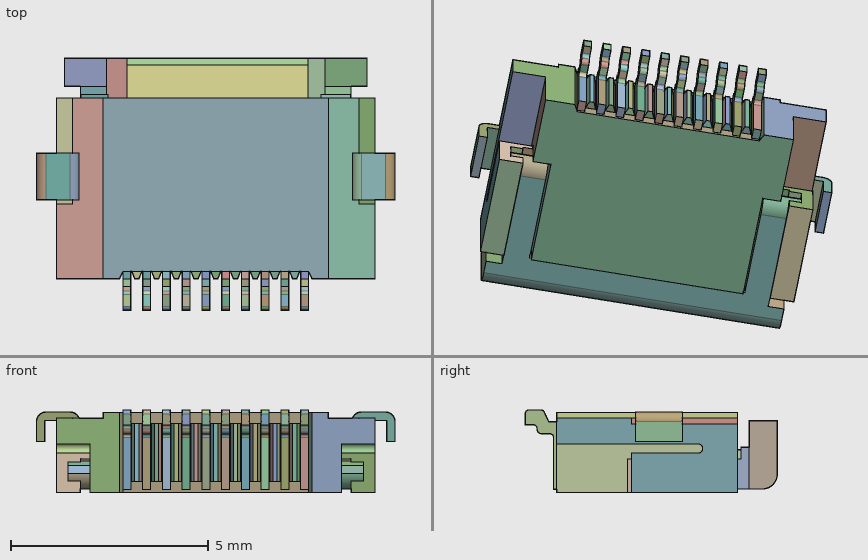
import cadquery as cq
import math


body_half_width = 4.04
body_depth = 4.59
body_height = 2.04
raised_half_width = 2.86
shelf_z = 1.89
side_step_x = 3.63
side_step_z = 1.75
side_step_front_y = 1.89

undercut_x = 3.19
undercut_y = 1.89
slot_top_z = 1.24
slot_width = 0.24
slot_end_y = 3.7

pin_count = 10
pin_pitch = 0.5
pin_width = 0.2
pin_bottom_z = 0.08
pin_face_y = -0.08
pin_shoulder_z = 1.8
pin_hook_z = 1.97
pin_tip_y = -0.8
pin_tip_z = 2.1
pin_tip_radius = 0.1
tail_bottom_z = 1.72
pin_ramp_foot_y = -0.2
pin_ramp_angle = 65
pin_ramp_radius = 0.1
elbow_y = -0.5
elbow_z = 1.49
elbow_inner_radius = 0.09
elbow_outer_radius = 0.12
recess_depth = 0.19
recess_mouth_half_width = 2.44
recess_back_half_width = 2.35
tooth_root_width = 0.26
tooth_tip_width = 0.11
tooth_bottom_z = 0.28
tooth_top_z = 1.76

clip_outer_x = 4.55
clip_thickness = 0.22
clip_top_z = 2.05
clip_foot_z = 1.29
clip_front_y = 2
clip_back_y = 3.185
clip_bend_radius = 0.25
clip_lip_start_x = 3.695

actuator_back_y = 5.6
actuator_bottom_z = 0.09
end_block_outer_x = 3.84
end_block_inner_x = 2.78
end_block_front_y = 4.88
end_block_top_z = 1.83
end_block_radius = 0.38
opening_left_x = -2.26
opening_right_x = 2.34
bar_top_z = 1.07
opening_edge_y = 5.42
opening_top_z = 0.96
opening_edge_z = 0.82
opening_end_z = 0.73
arm_outer_x = 3.43
neck_top_z = 1.16
tab_back_y = 4.67
tab_outer_x = 3.41
left_tab_inner_x = 2.73
right_tab_inner_x = 2.675
tab_top_z = 1.09
channel_inner_x = 2.73
channel_front_y = 1.8
channel_top_z = 0.855
arm_tip_y = 1.91
arm_top_z = 0.81
arm_axis_z = 0.49
arm_slope_y = 2
arm_slope_z = 0.69
arm_crest_y = 2.18
ear_outer_x = 3.75
ear_bottom_z = 0.29
ear_top_z = 0.78
ear_back_y = 2.73


def block(x_range, y_range, z_range):
    """Box between two limits along each axis."""
    (x0, x1), (y0, y1), (z0, z1) = x_range, y_range, z_range
    return cq.Workplane("XY").box(x1 - x0, y1 - y0, z1 - z0, centered=False).translate((x0, y0, z0))


def both_sides(shape):
    """The +X shape together with its mirror image on the -X side."""
    return shape.union(shape.mirror("YZ"))


def side_sketch(x):
    """Sketch plane at the given X, with sketch axes Y and Z."""
    return cq.Workplane("YZ", origin=(x, 0, 0))


def make_housing():
    """Body with a raised middle, undercut sides, arm channels and a recess for the terminals."""
    body = block((-body_half_width, body_half_width), (0, body_depth), (0, shelf_z))
    raised = block((-raised_half_width, raised_half_width), (0, body_depth), (0, body_height))
    side_step = block((side_step_x, body_half_width), (side_step_front_y, body_depth), (side_step_z, shelf_z))
    undercut = block((undercut_x, body_half_width), (0, undercut_y), (0, slot_top_z))

    slot_radius = slot_width / 2
    slot_bottom_z = slot_top_z - slot_width
    slot = (
        side_sketch(undercut_x)
        .moveTo(0, slot_bottom_z)
        .lineTo(slot_end_y - slot_radius, slot_bottom_z)
        .threePointArc((slot_end_y, slot_top_z - slot_radius), (slot_end_y - slot_radius, slot_top_z))
        .lineTo(0, slot_top_z)
        .close()
        .extrude(body_half_width - undercut_x)
    )
    channel = block((channel_inner_x, arm_outer_x), (channel_front_y, body_depth), (0, channel_top_z))
    ear_pocket = block((arm_outer_x, ear_outer_x), (undercut_y, ear_back_y), (ear_bottom_z, ear_top_z))
    tab_y = (body_depth, tab_back_y)
    tab_z = (channel_top_z, tab_top_z)
    left_tab = block((-tab_outer_x, -left_tab_inner_x), tab_y, tab_z)
    right_tab = block((right_tab_inner_x, tab_outer_x), tab_y, tab_z)
    cuts = side_step.union(undercut).union(slot).union(channel).union(ear_pocket)

    recess = (
        cq.Workplane("XY")
        .polyline([
            (-recess_mouth_half_width, 0),
            (recess_mouth_half_width, 0),
            (recess_back_half_width, recess_depth),
            (-recess_back_half_width, recess_depth),
        ])
        .close()
        .extrude(body_height)
    )
    return body.union(raised).cut(both_sides(cuts)).cut(recess).union(left_tab).union(right_tab)


def make_tooth():
    """Tapered tooth that stands in the recess between two terminals."""
    return (
        cq.Workplane("XY", origin=(0, 0, tooth_bottom_z))
        .polyline([
            (-tooth_root_width / 2, recess_depth),
            (-tooth_tip_width / 2, 0),
            (tooth_tip_width / 2, 0),
            (tooth_root_width / 2, recess_depth),
        ])
        .close()
        .extrude(tooth_top_z - tooth_bottom_z)
    )


def make_pin():
    """Upright stem with a short hook at its top and a tail that steps up to the solder pad."""
    angle = math.radians(pin_ramp_angle)
    ramp_head_y = pin_ramp_foot_y - (pin_tip_z - pin_shoulder_z) / math.tan(angle)
    tangent_length = pin_ramp_radius * math.tan(angle / 2)
    ramp_arc_start = (
        ramp_head_y + tangent_length * math.cos(angle),
        pin_tip_z - tangent_length * math.sin(angle),
    )
    return (
        side_sketch(-pin_width / 2)
        .moveTo(recess_depth, pin_bottom_z)
        .lineTo(pin_face_y, pin_bottom_z)
        .lineTo(pin_face_y, elbow_z - elbow_inner_radius)
        .radiusArc((pin_face_y - elbow_inner_radius, elbow_z), -elbow_inner_radius)
        .lineTo(elbow_y + elbow_outer_radius, elbow_z)
        .radiusArc((elbow_y, elbow_z + elbow_outer_radius), elbow_outer_radius)
        .lineTo(elbow_y, tail_bottom_z - elbow_inner_radius)
        .radiusArc((elbow_y - elbow_inner_radius, tail_bottom_z), -elbow_inner_radius)
        .lineTo(pin_tip_y, tail_bottom_z)
        .lineTo(pin_tip_y, pin_tip_z - pin_tip_radius)
        .radiusArc((pin_tip_y + pin_tip_radius, pin_tip_z), pin_tip_radius)
        .lineTo(ramp_head_y - tangent_length, pin_tip_z)
        .radiusArc(ramp_arc_start, pin_ramp_radius)
        .lineTo(pin_ramp_foot_y, pin_shoulder_z)
        .lineTo(0, pin_shoulder_z)
        .lineTo(0, pin_hook_z)
        .lineTo(recess_depth, pin_hook_z)
        .close()
        .extrude(pin_width)
    )


def make_clip():
    """Solder clip on the +X side: a plate with a rounded lip, bent down into a foot."""
    plate_bottom_z = clip_top_z - clip_thickness
    foot_inner_x = clip_outer_x - clip_thickness
    lip_length = math.sqrt(clip_bend_radius**2 - (clip_bend_radius - clip_thickness) ** 2)
    return (
        cq.Workplane("XZ", origin=(0, clip_back_y, 0))
        .moveTo(clip_lip_start_x - lip_length, plate_bottom_z)
        .radiusArc((clip_lip_start_x, clip_top_z), clip_bend_radius)
        .lineTo(clip_outer_x - clip_bend_radius, clip_top_z)
        .radiusArc((clip_outer_x, clip_top_z - clip_bend_radius), clip_bend_radius)
        .lineTo(clip_outer_x, clip_foot_z)
        .lineTo(foot_inner_x, clip_foot_z)
        .lineTo(foot_inner_x, plate_bottom_z)
        .close()
        .extrude(clip_back_y - clip_front_y)
    )


def make_arm():
    """Round-nosed arm on the +X side, with an ear that reaches into the housing wall."""
    nose_radius = arm_axis_z - actuator_bottom_z
    profile = (
        side_sketch(end_block_inner_x)
        .moveTo(body_depth, actuator_bottom_z)
        .lineTo(arm_tip_y + nose_radius, actuator_bottom_z)
        .radiusArc((arm_tip_y, arm_axis_z), nose_radius)
        .lineTo(arm_slope_y, arm_slope_z)
        .lineTo(arm_crest_y, arm_top_z)
        .lineTo(body_depth, arm_top_z)
        .close()
    )
    arm = profile.extrude(ear_outer_x - end_block_inner_x)
    beside_arm = (arm_outer_x, ear_outer_x)
    below_ear = block(beside_arm, (0, body_depth), (0, ear_bottom_z))
    behind_ear = block(beside_arm, (ear_back_y, body_depth), (0, body_height))
    return arm.cut(below_ear).cut(behind_ear)


def make_actuator():
    """Sliding bar with an end block, a neck and an arm on each side."""
    end_block = block(
        (end_block_inner_x, end_block_outer_x),
        (end_block_front_y, actuator_back_y),
        (actuator_bottom_z, end_block_top_z),
    )
    end_block = end_block.edges("|X and >Y and <Z").fillet(end_block_radius)
    neck_x = (end_block_inner_x, arm_outer_x)
    neck = block(neck_x, (tab_back_y, end_block_front_y), (actuator_bottom_z, neck_top_z))
    neck_root = block(neck_x, (body_depth, tab_back_y), (actuator_bottom_z, channel_top_z))
    side = end_block.union(neck).union(neck_root).union(make_arm())

    bar = block(
        (-end_block_inner_x, end_block_inner_x),
        (body_depth, actuator_back_y),
        (actuator_bottom_z, bar_top_z),
    )
    bar = bar.edges("|X and >Y and <Z").fillet(end_block_radius)
    opening = (
        side_sketch(opening_left_x)
        .polyline([
            (body_depth, bar_top_z),
            (body_depth, opening_top_z),
            (opening_edge_y, opening_edge_z),
            (actuator_back_y, opening_end_z),
            (actuator_back_y, bar_top_z),
        ])
        .close()
        .extrude(opening_right_x - opening_left_x)
    )
    return bar.cut(opening).union(both_sides(side))


result = make_housing().union(make_actuator()).union(both_sides(make_clip()))

pin = make_pin()
tooth = make_tooth()
first_pin_x = -(pin_count - 1) * pin_pitch / 2
for index in range(pin_count):
    pin_x = first_pin_x + index * pin_pitch
    result = result.union(pin.translate((pin_x, 0, 0)))
    if index < pin_count - 1:
        result = result.union(tooth.translate((pin_x + pin_pitch / 2, 0, 0)))